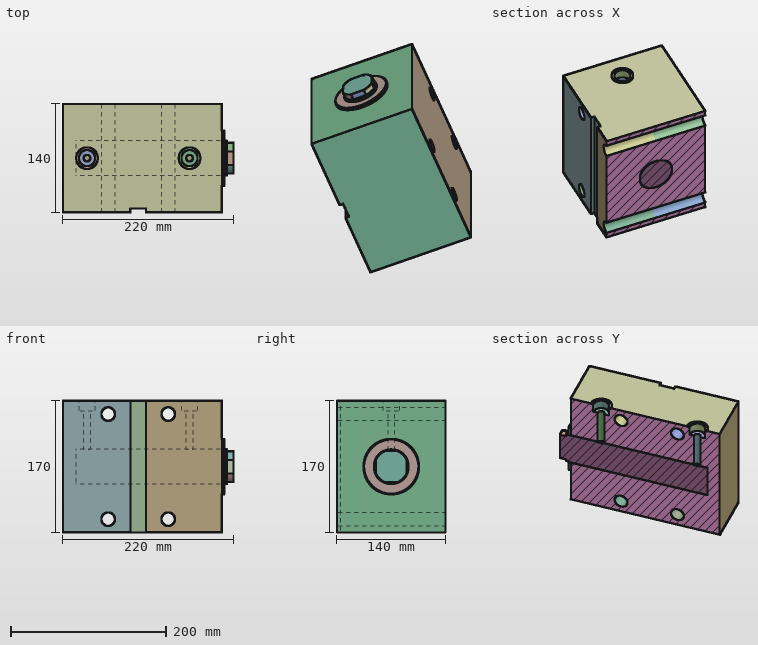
import cadquery as cq


total_length = 220.0
rod_reach = 15.0
block_length = total_length - rod_reach
block_depth = 140.0
block_height = 170.0
edge_chamfer = 0.5

keyway_x = 97.0
keyway_width = 20.0
keyway_depth = 4.8

mount_diameter = 17.2
mount_spacing_x = 77.5
mount_spacing_z = 135.5

port_xs = (31.0, 163.2)
spotface_diameter = 28.0
spotface_depth = 0.5
port_diameter = 21.0
port_depth = 13.0
oil_hole_diameter = 8.5

ring_diameter = 71.7
ring_thickness = 3.3
ring_chamfer = 0.9

rod_diameter = 44.9
rod_shoulder_reach = 6.5
rod_shoulder_chamfer = 0.7
rod_nose_diameter = 43.5
wrench_size = 39.8
rod_tail_x = port_xs[0] - spotface_diameter / 2


def x_cylinder(diameter, start_x, end_x):
    """Cylinder on the rod axis between two X positions."""
    return (
        cq.Workplane("XZ")
        .moveTo(start_x, 0)
        .lineTo(start_x, diameter / 2)
        .lineTo(end_x, diameter / 2)
        .lineTo(end_x, 0)
        .close()
        .revolve(360, (0, 0, 0), (1, 0, 0))
    )


def port_cutter(x):
    """Spotface, port and oil hole, from the top face down to the rod axis."""
    top = cq.Workplane("XY", origin=(x, 0, block_height / 2))
    spotface = top.circle(spotface_diameter / 2).extrude(-spotface_depth)
    port = top.circle(port_diameter / 2).extrude(-port_depth)
    oil_hole = top.circle(oil_hole_diameter / 2).extrude(-block_height / 2)
    return spotface.union(port).union(oil_hole)


def make_block():
    block = cq.Workplane("XY").box(block_length, block_depth, block_height, centered=(False, True, True))
    block = block.edges("|X").chamfer(edge_chamfer)

    keyway = cq.Workplane("XY").box(keyway_width, 2 * keyway_depth, block_height)
    block = block.cut(keyway.translate((keyway_x, -block_depth / 2, 0)))

    mounting_holes = (
        cq.Workplane("XZ", origin=(keyway_x, 0, 0))
        .rarray(mount_spacing_x, mount_spacing_z, 2, 2)
        .circle(mount_diameter / 2)
        .extrude(block_depth / 2, both=True)
    )
    block = block.cut(mounting_holes)

    for x in port_xs:
        block = block.cut(port_cutter(x))

    rod_bore = x_cylinder(rod_diameter, rod_tail_x, block_length)
    return block.cut(rod_bore)


def make_ring():
    outer_face_x = block_length + ring_thickness
    ring = x_cylinder(ring_diameter, block_length, outer_face_x).faces(">X").chamfer(ring_chamfer)
    return ring.cut(x_cylinder(rod_diameter, block_length, outer_face_x))


def make_rod():
    shoulder_x = block_length + rod_shoulder_reach
    shank = x_cylinder(rod_diameter, rod_tail_x, shoulder_x)
    shank = shank.faces(">X").chamfer(rod_shoulder_chamfer)

    nose = x_cylinder(rod_nose_diameter, shoulder_x, total_length)
    flats = cq.Workplane("YZ", origin=(shoulder_x, 0, 0)).rect(wrench_size, wrench_size).extrude(rod_reach)
    return shank.union(nose.intersect(flats))


block = make_block()
ring = make_ring()
rod = make_rod()

result = cq.Compound.makeCompound([block.val(), ring.val(), rod.val()])